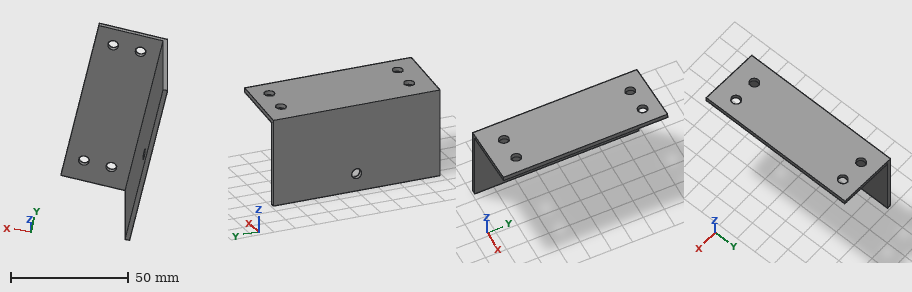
import cadquery as cq
import math

length = 78.0
thickness = 2.0
wall_height = 40.0
flange_length = 30.0
overall_height = 43.2
hole_diameter = 4.5
wall_hole_height = 8.0
flange_hole_first = 10.0
flange_hole_pitch_x = 12.0
flange_hole_pitch_y = 60.0
back_margin = 8.0

slope = math.asin((overall_height - wall_height) / flange_length)
cos_slope = math.cos(slope)
sin_slope = math.sin(slope)
tip_x = flange_length - thickness * sin_slope
tip_z = wall_height + tip_x * math.tan(slope)
inner_corner_z = wall_height + thickness * math.tan(slope) - thickness / cos_slope

bracket = (
    cq.Workplane("XZ")
    .polyline([
        (0, 0),
        (thickness, 0),
        (thickness, inner_corner_z),
        (tip_x + thickness * sin_slope, tip_z - thickness * cos_slope),
        (tip_x, tip_z),
        (0, wall_height),
    ])
    .close()
    .extrude(-length)
)

wall_hole = (
    cq.Workplane("YZ")
    .center(length / 2, wall_hole_height)
    .circle(hole_diameter / 2)
    .extrude(thickness)
)

flange_plane = cq.Plane(
    origin=(0, 0, wall_height),
    xDir=(cos_slope, 0, sin_slope),
    normal=(-sin_slope, 0, cos_slope),
)
back_row = length - back_margin
flange_holes = (
    cq.Workplane(flange_plane)
    .pushPoints([
        (x, y)
        for x in (flange_hole_first, flange_hole_first + flange_hole_pitch_x)
        for y in (back_row - flange_hole_pitch_y, back_row)
    ])
    .circle(hole_diameter / 2)
    .extrude(-thickness)
)

result = bracket.cut(wall_hole).cut(flange_holes)